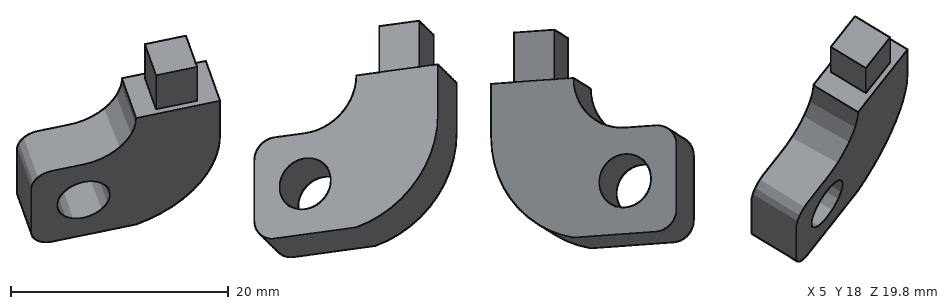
import cadquery as cq
import math

thickness = 5.0
length = 18.0
body_height = 15.0
total_height = 19.8

shoulder_length = 8.0
inner_radius = 5.0
toe_fillet = 2.0
hole_diameter = 5.0
peg_side = 3.92

heel_straight = 5.0
heel_run = 8.0

toe_height = body_height - inner_radius
heel_start_z = body_height - heel_straight
back_y = length / 2
front_y = -length / 2
shoulder_y = back_y - shoulder_length
inner_center_y = shoulder_y - inner_radius
heel_end_y = back_y - heel_run

heel_radius = (heel_run**2 + heel_start_z**2) / (2 * heel_run)
heel_center_y = back_y - heel_radius
heel_half_angle = math.atan2(heel_start_z, heel_end_y - heel_center_y) / 2
heel_mid = (
    heel_center_y + heel_radius * math.cos(heel_half_angle),
    heel_start_z - heel_radius * math.sin(heel_half_angle),
)
inner_mid = (
    inner_center_y + inner_radius * math.cos(math.pi / 4),
    body_height - inner_radius * math.sin(math.pi / 4),
)


def side_plane():
    """YZ sketch plane lying on the -X face of the plate."""
    return cq.Workplane("YZ", origin=(-thickness / 2, 0, 0))


def make_body():
    """Curved plate with a rounded toe, centred on X = 0."""
    outline = (
        side_plane()
        .moveTo(front_y, 0)
        .lineTo(heel_end_y, 0)
        .threePointArc(heel_mid, (back_y, heel_start_z))
        .lineTo(back_y, body_height)
        .lineTo(shoulder_y, body_height)
        .threePointArc(inner_mid, (inner_center_y, toe_height))
        .lineTo(front_y, toe_height)
        .close()
    )
    plate = outline.extrude(thickness)
    return plate.edges("|X and <Y").fillet(toe_fillet)


def make_hole():
    """Cross hole midway up the toe, below the centre of the inner arc."""
    return (
        side_plane()
        .center(inner_center_y, toe_height / 2)
        .circle(hole_diameter / 2)
        .extrude(thickness)
    )


def make_peg():
    """Square peg centred on the shoulder."""
    return (
        cq.Workplane("XY", origin=(0, back_y - shoulder_length / 2, body_height))
        .rect(peg_side, peg_side)
        .extrude(total_height - body_height)
    )


result = make_body().cut(make_hole()).union(make_peg())